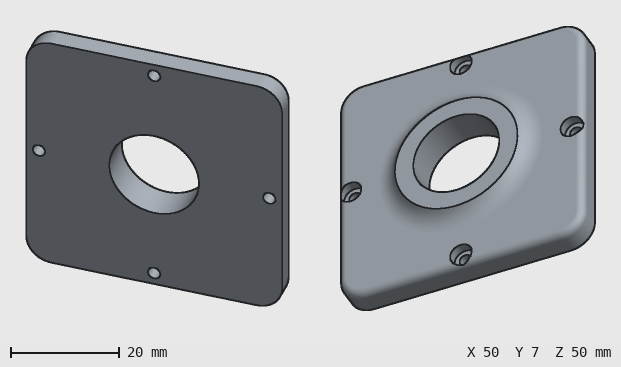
import cadquery as cq
import math

plate_side = 50.0
plate_thickness = 5.0
corner_radius = 5.0
edge_fillet = 1.5

total_thickness = 7.0
collar_top_radius = 12.5
collar_flank_radius = 5.0
bore_diameter = 17.5

screw_offset = 22.5
screw_diameter = 2.4
counterbore_diameter = 4.4
counterbore_depth = 2.0

back_y = plate_thickness
collar_y = total_thickness


def make_plate():
    """Rounded square plate with its +Y rim filleted."""
    plate = (
        cq.Workplane("XZ")
        .rect(plate_side, plate_side)
        .extrude(-plate_thickness)
        .edges("|Y")
        .fillet(corner_radius)
    )
    return plate.faces(">Y").edges().fillet(edge_fillet)


def make_collar():
    """Collar revolved about Y, with a concave arc flank tangent to the plate."""
    rise = collar_y - back_y
    flank_run = math.sqrt(collar_flank_radius**2 - (collar_flank_radius - rise) ** 2)
    foot_radius = collar_top_radius + flank_run

    half_sweep = math.asin(flank_run / collar_flank_radius) / 2
    mid_radius = foot_radius - collar_flank_radius * math.sin(half_sweep)
    mid_y = back_y + collar_flank_radius * (1 - math.cos(half_sweep))

    buried_y = back_y / 2
    return (
        cq.Workplane("ZY")
        .moveTo(0, buried_y)
        .lineTo(foot_radius, buried_y)
        .lineTo(foot_radius, back_y)
        .threePointArc((mid_radius, mid_y), (collar_top_radius, collar_y))
        .lineTo(0, collar_y)
        .close()
        .revolve(360, (0, 0), (0, 1))
    )


def make_bore():
    """Cylinder for the central through bore."""
    return cq.Workplane("XZ").circle(bore_diameter / 2).extrude(-total_thickness)


def make_screw_cutter(x, z):
    """Through hole along Y with a counterbore opening on the collar side."""
    shank = cq.Workplane("XZ").circle(screw_diameter / 2).extrude(-back_y)
    head = (
        cq.Workplane("XZ", origin=(0, back_y, 0))
        .circle(counterbore_diameter / 2)
        .extrude(counterbore_depth)
    )
    return shank.union(head).translate((x, 0, z))


result = make_plate().union(make_collar()).cut(make_bore())
for x_side, z_side in [(1, 0), (0, 1), (-1, 0), (0, -1)]:
    result = result.cut(make_screw_cutter(x_side * screw_offset, z_side * screw_offset))